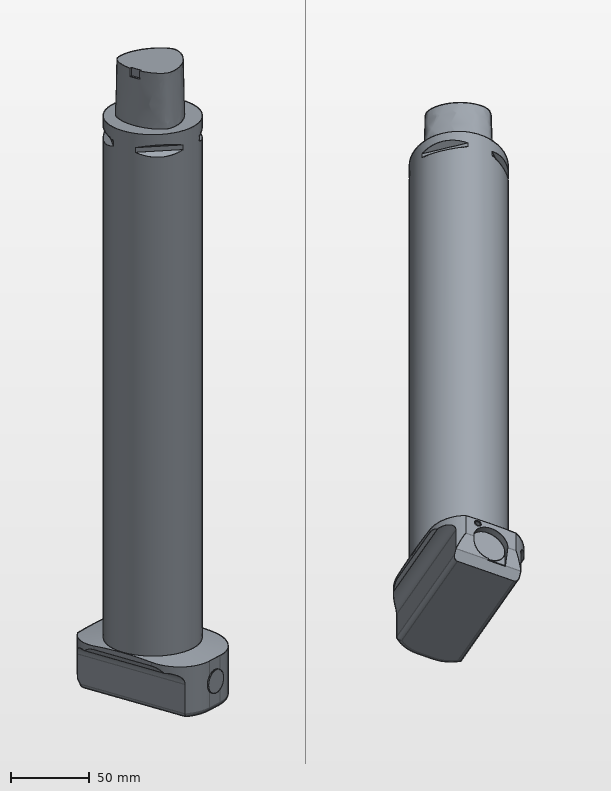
import cadquery as cq
import math


coupling_height = 38.0
coupling_radius = 22.0
lobe_offset = 1.8
coupling_taper = math.radians(1.4325)
key_width = 7.5
key_height = 5.6
key_depth = 1.6

shank_diameter = 63.0
shank_radius = shank_diameter / 2
gripper_slot_count = 4
gripper_slot_z = -11.4
gripper_slot_depth = 4.0
gripper_floor_height = 3.2
gripper_mouth_height = 8.4

bottom_z = -396.0
head_top_z = bottom_z + 37.6
head_length = 98.0
head_width = 64.0
head_corner_radius = 26.4
head_end_x = -46.0
top_cone_radius = 50.0
top_cone_drop = 2.5
foot_width = 46.0
cove_z = bottom_z + 23.2
cove_radius = 7.5
brow_z = bottom_z + 34.0
foot_edge_radius = 3.0

bevel_top_z = bottom_z + 19.5
bevel_low_z = bottom_z + 6.5
bevel_low_x = -42.5
bevel_bottom_x = -38.5
bore_diameter = 24.0
bore_z = bevel_top_z
bore_depth = 4.5
notch_depth = 4.0
notch_width = bore_diameter / 2

boss_diameter = 16.0
overall_length_x = 95.94
boss_end_x = head_end_x + overall_length_x

nozzle_diameter = 4.67
nozzle_bore = 3.43
nozzle_mouth = 4.1
nozzle_hole_diameter = 4.7
nozzle_length = 10.0
nozzle_y = 9.2
nozzle_z = bottom_z + 32.0


def lobed_profile(radius):
    """Return the curve of a constant-width three-lobed profile with one lobe toward +Y."""
    def point(t):
        angle = 2 * math.pi * t
        phase = 3 * (angle - math.pi / 2)
        reach = radius + lobe_offset * math.cos(phase)
        slide = -3 * lobe_offset * math.sin(phase)
        return (
            reach * math.cos(angle) - slide * math.sin(angle),
            reach * math.sin(angle) + slide * math.cos(angle),
        )
    return point


def make_coupling():
    tip_radius = coupling_radius - coupling_height * math.tan(coupling_taper)
    coupling = (
        cq.Workplane("XY")
        .parametricCurve(lobed_profile(coupling_radius), N=90)
        .workplane(offset=coupling_height)
        .parametricCurve(lobed_profile(tip_radius), N=90)
        .loft(combine=True)
    )
    key_floor_y = -(tip_radius - lobe_offset) + key_depth
    key_slot = cq.Workplane("XY").box(
        key_width, coupling_radius, key_height, centered=(True, False, False)
    ).translate((0, key_floor_y - coupling_radius, coupling_height - key_height))
    return coupling.cut(key_slot)


def gripper_slot(angle):
    """Trapezoid groove cut straight across the shank at one angle about Z."""
    floor_x = shank_radius - gripper_slot_depth
    half_floor = gripper_floor_height / 2
    half_mouth = gripper_mouth_height / 2
    slot = (
        cq.Workplane("XZ")
        .moveTo(floor_x, gripper_slot_z - half_floor)
        .lineTo(shank_radius, gripper_slot_z - half_mouth)
        .lineTo(shank_radius, gripper_slot_z + half_mouth)
        .lineTo(floor_x, gripper_slot_z + half_floor)
        .close()
        .extrude(shank_radius, both=True)
    )
    return slot.rotate((0, 0, 0), (0, 0, 1), angle)


def make_shank():
    shank = cq.Workplane("XY").workplane(offset=head_top_z).circle(shank_radius).extrude(-head_top_z)
    slot_step = 360 / gripper_slot_count
    for index in range(gripper_slot_count):
        shank = shank.cut(gripper_slot((index + 0.5) * slot_step))
    return shank


def head_plan():
    """Rounded plan shape of the head, full height."""
    return (
        cq.Workplane("XY")
        .workplane(offset=bottom_z)
        .rect(head_length, head_width)
        .extrude(head_top_z - bottom_z)
        .edges("|Z")
        .fillet(head_corner_radius)
    )


def head_cross_section():
    """Section across Y, run along X: wide band on top, coves, and a narrow foot."""
    half_foot = foot_width / 2
    half_width = head_width / 2
    cove_end_y = half_foot + cove_radius
    cove_end_z = cove_z + cove_radius
    cove_mid = cove_radius * (1 - math.sqrt(0.5))
    cove_mid_z = cove_z + cove_radius * math.sqrt(0.5)
    return (
        cq.Workplane("YZ")
        .moveTo(-half_foot, bottom_z)
        .lineTo(half_foot, bottom_z)
        .lineTo(half_foot, cove_z)
        .threePointArc((half_foot + cove_mid, cove_mid_z), (cove_end_y, cove_end_z))
        .lineTo(half_width, brow_z)
        .lineTo(half_width, head_top_z)
        .lineTo(-half_width, head_top_z)
        .lineTo(-half_width, brow_z)
        .lineTo(-cove_end_y, cove_end_z)
        .threePointArc((-half_foot - cove_mid, cove_mid_z), (-half_foot, cove_z))
        .close()
        .extrude(head_length, both=True)
    )


def head_side_section():
    """Section across X, run along Y: flat -X end with two bevels below it."""
    return (
        cq.Workplane("XZ")
        .moveTo(head_end_x, head_top_z)
        .lineTo(head_end_x, bevel_top_z)
        .lineTo(bevel_low_x, bevel_low_z)
        .lineTo(bevel_bottom_x, bottom_z)
        .lineTo(head_length, bottom_z)
        .lineTo(head_length, head_top_z)
        .close()
        .extrude(head_width, both=True)
    )


def top_cone():
    """Round body whose gently sloping top trims the upper face of the head."""
    return (
        cq.Workplane("XZ")
        .moveTo(0, bottom_z)
        .lineTo(top_cone_radius, bottom_z)
        .lineTo(top_cone_radius, head_top_z - top_cone_drop)
        .lineTo(shank_radius, head_top_z)
        .lineTo(0, head_top_z)
        .close()
        .revolve(360, (0, 0, 0), (0, 1, 0))
    )


def rod_along_x(diameter, start_x, end_x, y, z):
    return (
        cq.Workplane("YZ")
        .workplane(offset=start_x)
        .center(y, z)
        .circle(diameter / 2)
        .extrude(end_x - start_x)
    )


def make_head():
    head = head_plan().intersect(head_cross_section())
    head = head.faces("<Z").edges().fillet(foot_edge_radius)
    head = head.intersect(head_side_section()).intersect(top_cone())

    boss = rod_along_x(boss_diameter, 0, boss_end_x, 0, bore_z)
    bore = rod_along_x(bore_diameter, head_end_x, head_end_x + bore_depth, 0, bore_z)
    notch = cq.Workplane("XY").box(
        notch_depth, notch_width, bevel_top_z - bevel_low_z, centered=False
    ).translate((head_end_x, -notch_width, bevel_low_z))
    return head.union(boss).cut(bore).cut(notch)


def make_bar():
    """Coupling, shank and head in one piece, with the blind hole for the nozzle."""
    bar = make_head().union(make_shank()).union(make_coupling())
    nozzle_hole = rod_along_x(
        nozzle_hole_diameter, head_end_x, head_end_x + nozzle_length, nozzle_y, nozzle_z
    )
    return bar.cut(nozzle_hole)


def make_nozzle():
    """Tube with a chamfered outlet, set flush in the -X end and resting on the floor of its hole."""
    nozzle_end_x = head_end_x + nozzle_length
    tube = rod_along_x(nozzle_diameter, head_end_x, nozzle_end_x, nozzle_y, nozzle_z)
    tube = tube.cut(rod_along_x(nozzle_bore, head_end_x, nozzle_end_x, nozzle_y, nozzle_z))
    outlet_chamfer = (nozzle_mouth - nozzle_bore) / 2
    return tube.faces("<X").edges(cq.selectors.RadiusNthSelector(0)).chamfer(outlet_chamfer)


bar = make_bar()
nozzle = make_nozzle()
result = cq.Compound.makeCompound([bar.solids().val(), nozzle.solids().val()])